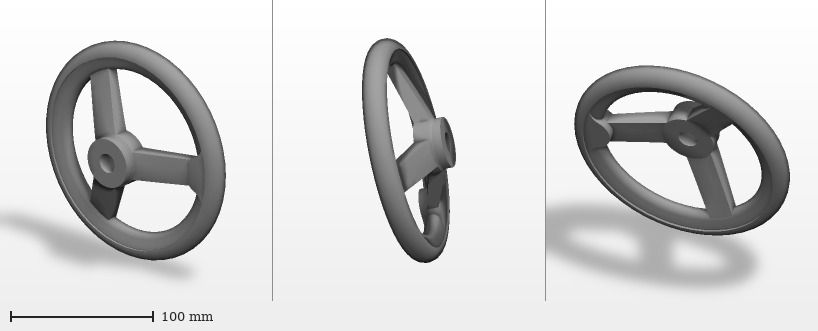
import cadquery as cq
import math

outer_diameter = 160.0
depth = 40.0

rim_centre_radius = 71.0
rim_round = outer_diameter / 2 - rim_centre_radius
rim_middle = depth - rim_round
rim_step_depth = 1.6
rim_step_width = 0.5
rim_inner_radius = 59.8
nose_round = 5.5

bore_diameter = 14.0
hub_face_diameter = 36.0
hub_face_length = 5.6
hub_body_diameter = 38.4
flare_end_radius = 20.0
flare_bulge = 0.5
hub_back = 19.7

spoke_angles = (0, 120, 240)
spoke_start = 16.0
spoke_end = 64.0
spoke_front_start = 6.2
spoke_front_slope = 0.46
spoke_back_slope = 0.37
spoke_start_width = 20.8
spoke_end_width = 19.5

boss_centre_x = 65.0
boss_radius = 13.8
boss_blend_radius = 11.4
boss_blend_x = 55.4

rim_edge_radius = rim_centre_radius - rim_step_width
half_web = rim_round - rim_step_depth
boss_front = rim_middle - half_web
boss_back = rim_middle + half_web


def extrude_along_y(outline, start, end):
    """Extrude an outline drawn in (X, Z) between two Y positions."""
    return outline.extrude(start - end).translate((0, start, 0))


def make_rim():
    nose_centre = rim_inner_radius + nose_round
    run = rim_edge_radius - nose_centre
    reach = math.hypot(run, half_web)
    normal_angle = math.atan2(half_web, run) + math.acos(nose_round / reach)
    touch_radius = nose_centre + nose_round * math.cos(normal_angle)
    touch_offset = nose_round * math.sin(normal_angle)

    profile = (
        cq.Workplane("XY")
        .moveTo(rim_centre_radius, rim_middle - rim_round)
        .threePointArc((outer_diameter / 2, rim_middle), (rim_centre_radius, depth))
        .lineTo(rim_centre_radius, boss_back)
        .lineTo(rim_edge_radius, boss_back)
        .lineTo(touch_radius, rim_middle + touch_offset)
        .threePointArc((rim_inner_radius, rim_middle), (touch_radius, rim_middle - touch_offset))
        .lineTo(rim_edge_radius, boss_front)
        .lineTo(rim_centre_radius, boss_front)
        .close()
    )
    return profile.revolve(360, (0, 0, 0), (0, 1, 0))


def make_centre_dish():
    """Full turn of the hub and spoke section; the hub and spokes are cut out of it."""
    face_radius = hub_face_diameter / 2
    body_radius = hub_body_diameter / 2
    flare_end_y = spoke_front_start + spoke_front_slope * (flare_end_radius - spoke_start)
    spoke_front_end = spoke_front_start + spoke_front_slope * (spoke_end - spoke_start)
    spoke_back_end = hub_back + spoke_back_slope * (spoke_end - body_radius)
    profile = (
        cq.Workplane("XY")
        .lineTo(face_radius, 0)
        .lineTo(face_radius, hub_face_length)
        .sagittaArc((flare_end_radius, flare_end_y), flare_bulge)
        .lineTo(spoke_end, spoke_front_end)
        .lineTo(spoke_end, spoke_back_end)
        .lineTo(body_radius, hub_back)
        .lineTo(0, hub_back)
        .close()
    )
    return profile.revolve(360, (0, 0, 0), (0, 1, 0))


def make_hub_limit():
    return extrude_along_y(cq.Workplane("XZ").circle(hub_body_diameter / 2), 0, depth)


def make_spoke_limit(angle):
    outline = cq.Workplane("XZ").polyline([
        (spoke_start, -spoke_start_width / 2),
        (spoke_end, -spoke_end_width / 2),
        (spoke_end, spoke_end_width / 2),
        (spoke_start, spoke_start_width / 2),
    ]).close()
    return extrude_along_y(outline, 0, depth).rotate((0, 0, 0), (0, 1, 0), angle)


def make_boss():
    centre_distance = boss_radius + boss_blend_radius
    blend_z = math.sqrt(centre_distance**2 - (boss_centre_x - boss_blend_x) ** 2)
    blend_end_x = boss_blend_x + boss_blend_radius

    touch_x = boss_centre_x - (boss_centre_x - boss_blend_x) * boss_radius / centre_distance
    touch_z = blend_z * boss_radius / centre_distance
    touch_angle = math.atan2(touch_z - blend_z, touch_x - boss_blend_x)
    middle_x = boss_blend_x + boss_blend_radius * math.cos(touch_angle / 2)
    middle_z = blend_z + boss_blend_radius * math.sin(touch_angle / 2)
    rim_z = math.sqrt(rim_centre_radius**2 - blend_end_x**2)

    outline = (
        cq.Workplane("XZ")
        .moveTo(touch_x, touch_z)
        .threePointArc((middle_x, middle_z), (blend_end_x, blend_z))
        .lineTo(blend_end_x, rim_z)
        .threePointArc((rim_centre_radius, 0), (blend_end_x, -rim_z))
        .lineTo(blend_end_x, -blend_z)
        .threePointArc((middle_x, -middle_z), (touch_x, -touch_z))
        .threePointArc((boss_centre_x - boss_radius, 0), (touch_x, touch_z))
        .close()
    )
    return extrude_along_y(outline, boss_front, boss_back)


dish = make_centre_dish()
wheel = make_rim().union(make_boss()).union(dish.intersect(make_hub_limit()))
for spoke_angle in spoke_angles:
    wheel = wheel.union(dish.intersect(make_spoke_limit(spoke_angle)))

bore = extrude_along_y(cq.Workplane("XZ").circle(bore_diameter / 2), 0, depth)
result = wheel.cut(bore)